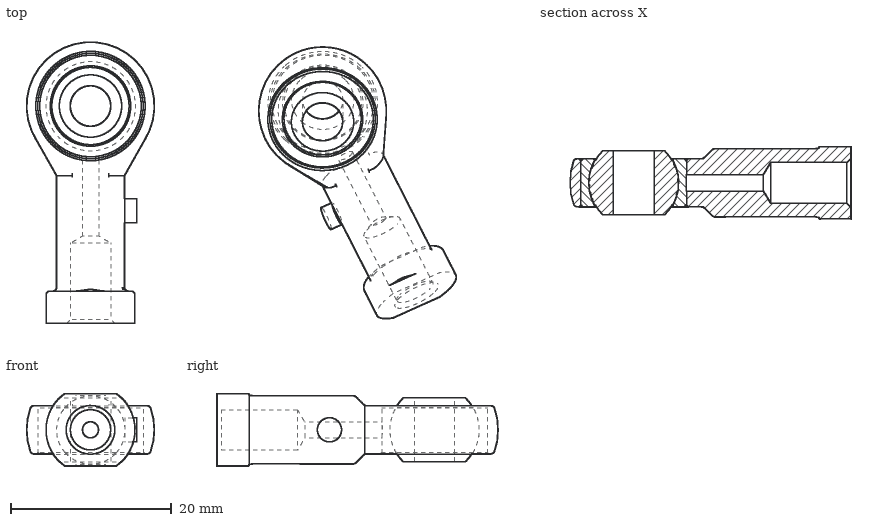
import cadquery as cq
import math


OVERALL_LENGTH = 34.95
EDGE_RADIUS = 0.5

HEAD_RADIUS = 7.95
HEAD_THICKNESS = 6.0
HEAD_HALF_THICKNESS = HEAD_THICKNESS / 2
EYE_END_DISTANCE = 4.0
NECK_DISTANCE = 8.65

BASE_Y = HEAD_RADIUS - OVERALL_LENGTH
SHANK_RADIUS = 8.5 / 2
COLLAR_RADIUS = 11.05 / 2
COLLAR_TOP_Y = BASE_Y + 4.02
COLLAR_FILLET_RADIUS = 0.42
ACROSS_FLATS = 9.0
FLAT_EDGE_RADIUS = 0.2

BORE_RADIUS = 5.0 / 2
BORE_MOUTH_RADIUS = 6.05 / 2
BORE_DEPTH = 10.0
DRILL_POINT_ANGLE = 118.0
CHANNEL_RADIUS = 2.0 / 2

RACE_RADIUS = 13.1 / 2
RACE_CHAMFER = 0.25
RACE_MOUTH_RADIUS = 5.0

BALL_RADIUS = 5.55
BALL_WIDTH = 7.97
BALL_BORE_RADIUS = 5.0 / 2

NIPPLE_RADIUS = 3.0 / 2
NIPPLE_Y = BASE_Y + 13.98
NIPPLE_HEIGHT = 1.5


def cylinder_z(radius, height):
    """Cylinder along Z, centred on the origin."""
    return cq.Workplane("XY", origin=(0, 0, -height / 2)).circle(radius).extrude(height)


def revolve_about_y(profile):
    """Full turn of a closed XY profile about the shank axis."""
    return profile.close().revolve(360, (0, 0), (0, 1))


def rounded_section(radius):
    """Wire at the neck: disc cut off flat to the thickness of the head, with rounded corners."""
    corner_z = HEAD_HALF_THICKNESS - EDGE_RADIUS
    corner_x = math.sqrt((radius - EDGE_RADIUS) ** 2 - corner_z**2)
    rim_angle = math.atan2(corner_z, corner_x)
    rim_x = radius * math.cos(rim_angle)
    rim_z = radius * math.sin(rim_angle)
    return (
        cq.Workplane("XZ", origin=(0, -NECK_DISTANCE, 0))
        .moveTo(-corner_x, -HEAD_HALF_THICKNESS)
        .lineTo(corner_x, -HEAD_HALF_THICKNESS)
        .radiusArc((rim_x, -rim_z), -EDGE_RADIUS)
        .threePointArc((radius, 0), (rim_x, rim_z))
        .radiusArc((corner_x, HEAD_HALF_THICKNESS), -EDGE_RADIUS)
        .lineTo(-corner_x, HEAD_HALF_THICKNESS)
        .radiusArc((-rim_x, rim_z), -EDGE_RADIUS)
        .threePointArc((-radius, 0), (-rim_x, -rim_z))
        .radiusArc((-corner_x, -HEAD_HALF_THICKNESS), -EDGE_RADIUS)
        .close()
        .val()
    )


def head():
    """Spherical eye between two flat faces, narrowing in straight lines to the round shank."""
    eye_length = EYE_END_DISTANCE + HEAD_RADIUS
    slab = cq.Workplane("XY").box(2 * HEAD_RADIUS, eye_length, HEAD_THICKNESS)
    slab = slab.translate((0, eye_length / 2 - EYE_END_DISTANCE, 0))
    eye = cq.Workplane("XY").sphere(HEAD_RADIUS).intersect(slab)
    eye = eye.faces("|Z").edges("%CIRCLE").fillet(EDGE_RADIUS)
    eye_end = eye.faces("<Y").wires().val()
    neck = cq.Solid.makeLoft([eye_end, rounded_section(SHANK_RADIUS)], True)
    return eye.union(cq.Workplane(neck))


def shank():
    """Round shank, sloped at 45 degrees down to the thickness of the head."""
    length = -NECK_DISTANCE - BASE_Y
    slope_run = SHANK_RADIUS - HEAD_HALF_THICKNESS
    rod = cq.Workplane("XZ", origin=(0, -NECK_DISTANCE, 0)).circle(SHANK_RADIUS).extrude(length)
    envelope = (
        cq.Workplane("YZ", origin=(-SHANK_RADIUS, 0, 0))
        .moveTo(-NECK_DISTANCE, -HEAD_HALF_THICKNESS)
        .lineTo(-NECK_DISTANCE, HEAD_HALF_THICKNESS)
        .line(-slope_run, slope_run)
        .lineTo(BASE_Y, SHANK_RADIUS)
        .lineTo(BASE_Y, -SHANK_RADIUS)
        .lineTo(-NECK_DISTANCE - slope_run, -SHANK_RADIUS)
        .close()
        .extrude(2 * SHANK_RADIUS)
    )
    return rod.intersect(envelope).edges("%ELLIPSE").fillet(EDGE_RADIUS)


def slope_fillets():
    """Fillets in the corners between the flat faces of the head and the slopes of the shank."""
    reach = EDGE_RADIUS * math.tan(math.radians(45 / 2))
    rise = reach * math.sin(math.radians(45))
    half_width = math.sqrt((SHANK_RADIUS - EDGE_RADIUS) ** 2 - HEAD_HALF_THICKNESS**2)
    upper = (
        cq.Workplane("YZ", origin=(-half_width, 0, 0))
        .moveTo(-NECK_DISTANCE, HEAD_HALF_THICKNESS)
        .lineTo(-NECK_DISTANCE + reach, HEAD_HALF_THICKNESS)
        .radiusArc((-NECK_DISTANCE - rise, HEAD_HALF_THICKNESS + rise), EDGE_RADIUS)
        .close()
        .extrude(2 * half_width)
    )
    return upper.union(upper.mirror("XY"))


def flats(width):
    """Space between two planes parallel to XY, for cutting flats across the shank axis."""
    return cq.Workplane("XY").box(2 * COLLAR_RADIUS, 2 * OVERALL_LENGTH, width)


def collar():
    """Collar with a rounded rim, two wrench flats and a fillet up to the shank."""
    disc = revolve_about_y(
        cq.Workplane("XY")
        .moveTo(0, BASE_Y)
        .lineTo(COLLAR_RADIUS, BASE_Y)
        .lineTo(COLLAR_RADIUS, COLLAR_TOP_Y - EDGE_RADIUS)
        .radiusArc((COLLAR_RADIUS - EDGE_RADIUS, COLLAR_TOP_Y), -EDGE_RADIUS)
        .lineTo(0, COLLAR_TOP_Y)
    )
    disc = disc.intersect(flats(ACROSS_FLATS))
    disc = disc.faces("|Z").edges("not(<Y)").fillet(FLAT_EDGE_RADIUS)
    root = revolve_about_y(
        cq.Workplane("XY")
        .moveTo(0, COLLAR_TOP_Y)
        .lineTo(SHANK_RADIUS + COLLAR_FILLET_RADIUS, COLLAR_TOP_Y)
        .radiusArc((SHANK_RADIUS, COLLAR_TOP_Y + COLLAR_FILLET_RADIUS), COLLAR_FILLET_RADIUS)
        .lineTo(0, COLLAR_TOP_Y + COLLAR_FILLET_RADIUS)
    )
    root = root.intersect(flats(ACROSS_FLATS - 2 * FLAT_EDGE_RADIUS))
    return disc.union(root)


def threaded_bore():
    """Chamfered bore with a drill-point bottom and a channel leading on to the race."""
    bottom_y = BASE_Y + BORE_DEPTH
    point_length = (BORE_RADIUS - CHANNEL_RADIUS) / math.tan(math.radians(DRILL_POINT_ANGLE / 2))
    return revolve_about_y(
        cq.Workplane("XY")
        .moveTo(0, BASE_Y)
        .lineTo(BORE_MOUTH_RADIUS, BASE_Y)
        .lineTo(BORE_RADIUS, BASE_Y + BORE_MOUTH_RADIUS - BORE_RADIUS)
        .lineTo(BORE_RADIUS, bottom_y)
        .lineTo(CHANNEL_RADIUS, bottom_y + point_length)
        .lineTo(CHANNEL_RADIUS, 0)
        .lineTo(0, 0)
    )


def countersinks(radius):
    """45 degree cones that open to the given radius at both faces of the head."""
    upper = cq.Workplane(
        cq.Solid.makeCone(0, radius, radius, pnt=(0, 0, HEAD_HALF_THICKNESS - radius))
    )
    return upper, upper.mirror("XY")


def make_housing():
    """Rod end housing: head, shank and collar with the bore and the seat of the race."""
    solid = head().union(shank()).union(slope_fillets()).union(collar())
    solid = solid.cut(threaded_bore()).cut(cylinder_z(RACE_RADIUS, HEAD_THICKNESS))
    for cone in countersinks(RACE_RADIUS + RACE_CHAMFER):
        solid = solid.cut(cone)
    return solid


def make_race():
    """Ring between housing and ball, with a spherical bore countersunk at both ends."""
    ring = cylinder_z(RACE_RADIUS, HEAD_THICKNESS).edges().chamfer(RACE_CHAMFER)
    for cone in countersinks(RACE_MOUTH_RADIUS):
        ring = ring.cut(cone)
    return ring.cut(cq.Workplane("XY").sphere(BALL_RADIUS))


def make_ball():
    """Ball with flat ends and a through bore."""
    ball_blank = cq.Workplane("XY").sphere(BALL_RADIUS).intersect(cylinder_z(BALL_RADIUS, BALL_WIDTH))
    return ball_blank.cut(cylinder_z(BALL_BORE_RADIUS, BALL_WIDTH))


def make_nipple():
    """Grease nipple: a plain pin whose flat foot touches the side of the shank."""
    foot = cq.Workplane("YZ", origin=(SHANK_RADIUS, NIPPLE_Y, 0))
    return foot.circle(NIPPLE_RADIUS).extrude(NIPPLE_HEIGHT)


housing = make_housing()
race = make_race()
ball = make_ball()
nipple = make_nipple()

result = cq.Compound.makeCompound([housing.val(), race.val(), ball.val(), nipple.val()])